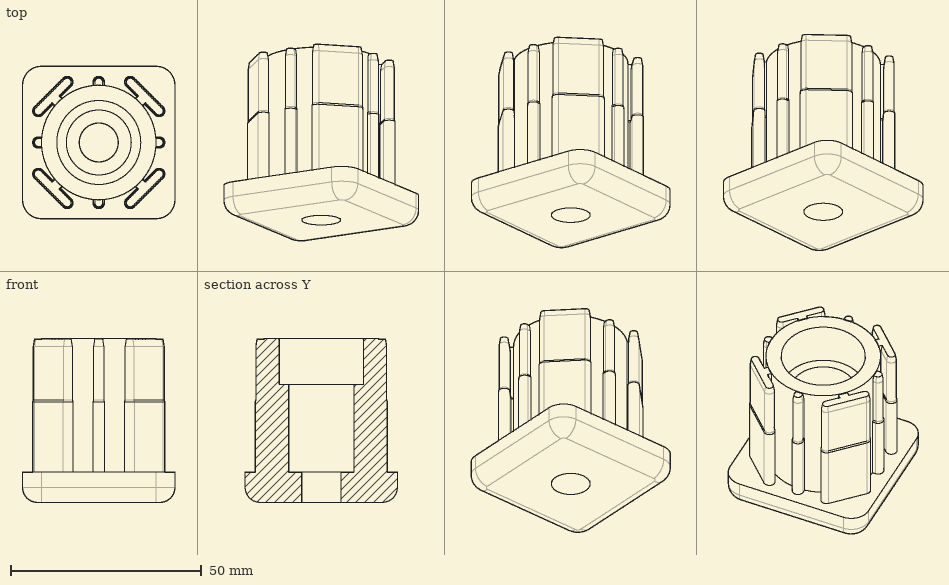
import cadquery as cq
import math

HEIGHT = 43.0
FLANGE_WIDTH = 40.0
FLANGE_HEIGHT = 8.0
CORNER_RADIUS = 5.0
BOTTOM_FILLET = 4.0

TUBE_RADIUS = 15.0
BORE_RADIUS = 11.0
BORE_DEPTH = 12.05
INNER_BORE_RADIUS = 8.5
HOLE_RADIUS = 5.07

RIB_RADIUS = 1.5
RIB_REACH = 17.35
RIB_ROOT = (TUBE_RADIUS + BORE_RADIUS) / 2
RIB_TOP_DROP = 0.2
FOOT_TOP = 26.4
SHANK_BASE = 26.9
SHANK_TOP = 40.95
SHANK_INSET = 0.17
TIP_INSET = 0.47
RIB_TOP = HEIGHT - RIB_TOP_DROP

WING_SPAN = 10.7
WEB_WIDTH = 2.9

rib_offset = RIB_REACH - RIB_RADIUS
wing_offset = rib_offset * math.sqrt(2) - WING_SPAN / 2


def flange():
    block = cq.Workplane("XY").rect(FLANGE_WIDTH, FLANGE_WIDTH).extrude(FLANGE_HEIGHT)
    rounded = block.edges("|Z").fillet(CORNER_RADIUS)
    return rounded.faces("<Z").edges().fillet(BOTTOM_FILLET)


def tube():
    return cq.Workplane("XY").circle(TUBE_RADIUS).extrude(HEIGHT)


def stepped_column(outline, tip_inset):
    """Foot, shank and tip; outline(plane, inset) draws the section shrunk by inset."""

    def layer(bottom, top, bottom_inset, top_inset):
        height = top - bottom
        slope = math.degrees(math.atan((top_inset - bottom_inset) / height))
        plane = cq.Workplane("XY", origin=(0, 0, bottom))
        return outline(plane, bottom_inset).extrude(height, taper=slope)

    foot = layer(FLANGE_HEIGHT, FOOT_TOP, 0, 0)
    shoulder = layer(FOOT_TOP, SHANK_BASE, 0, SHANK_INSET)
    shank = layer(SHANK_BASE, SHANK_TOP, SHANK_INSET, SHANK_INSET)
    tip = layer(SHANK_TOP, RIB_TOP, SHANK_INSET, tip_inset)
    return foot.union(shoulder).union(shank).union(tip)


def rib():
    length = rib_offset - RIB_ROOT
    middle = (rib_offset + RIB_ROOT) / 2

    def outline(plane, inset):
        width = 2 * (RIB_RADIUS - inset)
        return plane.center(middle, 0).slot2D(length + width, width)

    return stepped_column(outline, TIP_INSET)


def wing():
    def blade_outline(plane, inset):
        width = 2 * (RIB_RADIUS - inset)
        return plane.center(wing_offset, 0).slot2D(WING_SPAN + width, width, 90)

    web_length = wing_offset - RIB_ROOT
    web_middle = (wing_offset + RIB_ROOT) / 2

    def web_outline(plane, inset):
        return plane.center(web_middle, 0).rect(web_length, WEB_WIDTH - 2 * inset)

    blade = stepped_column(blade_outline, TIP_INSET)
    return blade.union(stepped_column(web_outline, SHANK_INSET))


def bores():
    hole = cq.Workplane("XY").circle(HOLE_RADIUS).extrude(HEIGHT)
    inner = cq.Workplane("XY", origin=(0, 0, FLANGE_HEIGHT)).circle(INNER_BORE_RADIUS).extrude(HEIGHT)
    outer = cq.Workplane("XY", origin=(0, 0, HEIGHT - BORE_DEPTH)).circle(BORE_RADIUS).extrude(HEIGHT)
    return hole.union(inner).union(outer)


body = flange().union(tube())
for quarter in range(4):
    turn = 90 * quarter
    body = body.union(rib().rotate((0, 0, 0), (0, 0, 1), turn))
    body = body.union(wing().rotate((0, 0, 0), (0, 0, 1), turn + 45))

result = body.cut(bores())